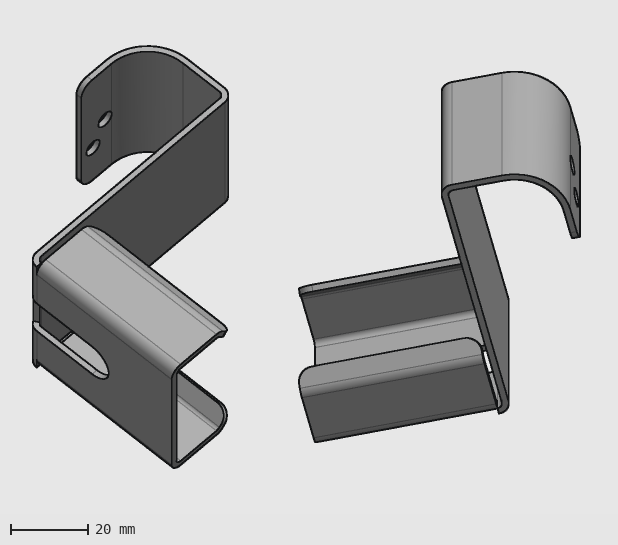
import cadquery as cq
import math

length_x = 81.4
depth_y = 75.0
height_z = 44.0
sheet = 1.8
bend_outer = 3.3
bend_inner = bend_outer - sheet
mid_z = height_z / 2

hook_radius = 14.8
hook_tip_y = depth_y - 26.0
hook_corner_radius = 4.0
web_right = 31.4
web_left = web_right - sheet
plate_start = web_left + bend_outer

lip_angle = 45
shelf_end_y = 16.7
lip_length = 5.0
lip_corner_radius = 4.0

slot_radius = 6.0
slot_end_x = 58.8
slot_bend_angle = 30
hole_count = 2
hole_diameter = 5.0
hole_y = 57.9
hole_step_y = 4.5
hole_step_z = 8.0


def on_arc(center, radius, degrees):
    """Point on a circle, at an angle measured from the first axis."""
    angle = math.radians(degrees)
    return (center[0] + radius * math.cos(angle), center[1] + radius * math.sin(angle))


def make_hook_and_web():
    """Bent strip from the hook tip, over the top and down the web to the front plate."""
    hook_center = (hook_radius, depth_y - hook_radius)
    top_center = (web_right - bend_outer, depth_y - bend_outer)
    foot_center = (plate_start, bend_outer)
    strip = (
        cq.Workplane("XY")
        .moveTo(0, hook_tip_y)
        .lineTo(0, hook_center[1])
        .threePointArc(on_arc(hook_center, hook_radius, 135), (hook_center[0], depth_y))
        .lineTo(top_center[0], depth_y)
        .threePointArc(on_arc(top_center, bend_outer, 45), (web_right, top_center[1]))
        .lineTo(web_right, bend_outer)
        .threePointArc(on_arc(foot_center, bend_inner, 225), (plate_start, sheet))
        .lineTo(plate_start, 0)
        .threePointArc(on_arc(foot_center, bend_outer, 225), (web_left, bend_outer))
        .lineTo(web_left, top_center[1])
        .threePointArc(on_arc(top_center, bend_inner, 45), (top_center[0], depth_y - sheet))
        .lineTo(hook_center[0], depth_y - sheet)
        .threePointArc(on_arc(hook_center, hook_radius - sheet, 135), (sheet, hook_center[1]))
        .lineTo(sheet, hook_tip_y)
        .close()
        .extrude(height_z)
    )
    reach = sheet / 2
    tip_corners = cq.selectors.BoxSelector(
        (0, hook_tip_y - reach, -reach), (sheet, hook_tip_y + reach, height_z + reach)
    )
    return strip.edges("|X").edges(tip_corners).fillet(hook_corner_radius)


def make_half_channel():
    """Upper half of the front channel: plate, shelf and lip, drawn in Y and Z."""
    front_center = (bend_outer, height_z - bend_outer)
    rear_center = (shelf_end_y, height_z - bend_outer)
    lip_normal = 90 - lip_angle
    mid_bend = 90 - lip_angle / 2
    outer_start = on_arc(rear_center, bend_outer, lip_normal)
    outer_tip = on_arc(outer_start, lip_length, -lip_angle)
    inner_start = on_arc(rear_center, bend_inner, lip_normal)
    inner_tip = on_arc(inner_start, lip_length, -lip_angle)
    half = (
        cq.Workplane("YZ", origin=(plate_start, 0, 0))
        .moveTo(0, mid_z)
        .lineTo(0, front_center[1])
        .threePointArc(on_arc(front_center, bend_outer, 135), (bend_outer, height_z))
        .lineTo(shelf_end_y, height_z)
        .threePointArc(on_arc(rear_center, bend_outer, mid_bend), outer_start)
        .lineTo(*outer_tip)
        .lineTo(*inner_tip)
        .lineTo(*inner_start)
        .threePointArc(on_arc(rear_center, bend_inner, mid_bend), (shelf_end_y, height_z - sheet))
        .lineTo(bend_outer, height_z - sheet)
        .threePointArc(on_arc(front_center, bend_inner, 135), (sheet, front_center[1]))
        .lineTo(sheet, mid_z)
        .close()
        .extrude(length_x - plate_start)
    )
    tip_middle = ((outer_tip[0] + inner_tip[0]) / 2, (outer_tip[1] + inner_tip[1]) / 2)
    reach = sheet / 2
    lip_corners = cq.selectors.BoxSelector(
        (plate_start - reach, tip_middle[0] - reach, tip_middle[1] - reach),
        (length_x + reach, tip_middle[0] + reach, tip_middle[1] + reach),
    )
    return half.edges("not |X").edges(lip_corners).fillet(lip_corner_radius)


def make_slot_cutter():
    """Round-ended slot in the front plate, continued part way around the foot bend."""
    straight_end = slot_end_x - slot_radius
    straight = cq.Workplane("XY").box(
        straight_end - plate_start, sheet, 2 * slot_radius, centered=False
    ).translate((plate_start, 0, mid_z - slot_radius))
    round_end = (
        cq.Workplane("XZ", origin=(straight_end, 0, mid_z)).circle(slot_radius).extrude(-sheet)
    )
    foot_center = (plate_start, bend_outer)
    bend_part = (
        cq.Workplane("XY", origin=(0, 0, mid_z - slot_radius))
        .moveTo(*foot_center)
        .lineTo(*on_arc(foot_center, 2 * bend_outer, 180 + slot_bend_angle))
        .lineTo(plate_start, -bend_outer)
        .close()
        .extrude(2 * slot_radius)
    )
    return straight.union(round_end).union(bend_part)


def make_hole_cutter(y, z):
    """Round hole through the hook wall."""
    return cq.Workplane("YZ", origin=(0, y, z)).circle(hole_diameter / 2).extrude(hook_radius)


upper_half = make_half_channel()
lower_half = upper_half.mirror("XY", (0, 0, mid_z))
result = make_hook_and_web().union(upper_half).union(lower_half)
result = result.cut(make_slot_cutter())
for step in range(hole_count):
    result = result.cut(make_hole_cutter(hole_y - step * hole_step_y, mid_z - step * hole_step_z))
result = result.clean()